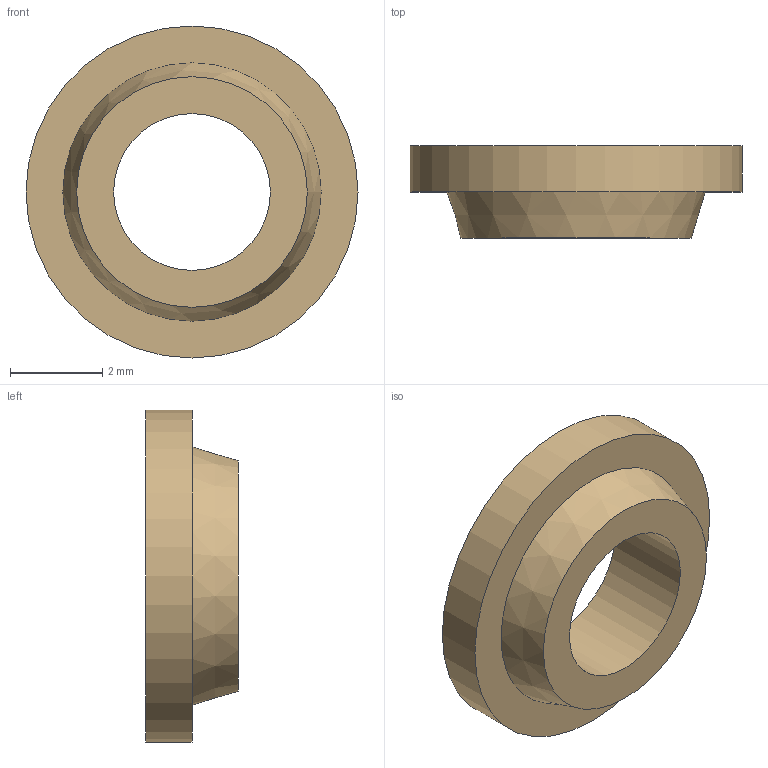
import cadquery as cq

flange_diameter = 7.2
flange_thickness = 1.0
boss_base_diameter = 5.6
boss_tip_diameter = 5.0
boss_height = 1.0
bore_diameter = 3.4

total_length = flange_thickness + boss_height


def half_profile():
    """Section from the bore to the outside: X is the radius, Y runs along the axis."""
    return (
        cq.Workplane("XY")
        .moveTo(bore_diameter / 2, 0)
        .lineTo(boss_tip_diameter / 2, 0)
        .lineTo(boss_base_diameter / 2, boss_height)
        .lineTo(flange_diameter / 2, boss_height)
        .lineTo(flange_diameter / 2, total_length)
        .lineTo(bore_diameter / 2, total_length)
        .close()
    )


result = half_profile().revolve(360, (0, 0, 0), (0, 1, 0))